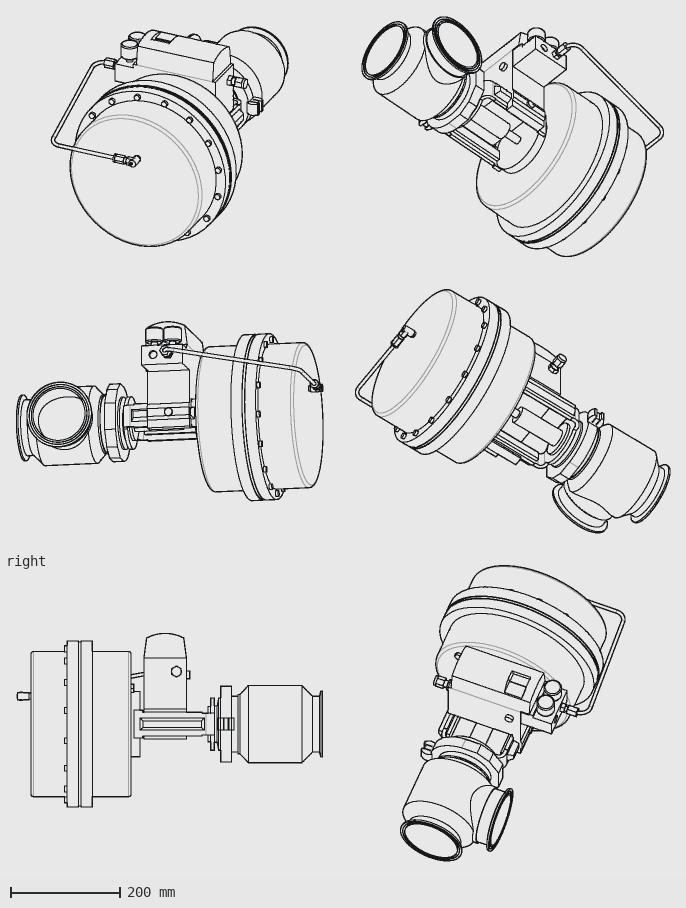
import cadquery as cq
import math


case_radius = 133.0
case_edge_round = 5.0
case_back_y = 183.5
flange_radius = 152.0
flange_thickness = 20.5
flange_front_y = 66.0
gasket_thickness = 5.0
front_flange_y = (flange_front_y, flange_front_y + flange_thickness)
back_flange_front_y = front_flange_y[1] + gasket_thickness
back_flange_y = (back_flange_front_y, back_flange_front_y + flange_thickness)
gasket_radius = 150.5
hub_radius = 60.0
hub_back_y = 199.5
bolt_count = 16
bolt_circle_radius = 141.0
bolt_start_angle = 10.1
bolt_head_radius = 5.3
bolt_head_height = 5.0
plug_position = (84.0, 65.5)
plug_across_corners = 17.5
plug_height = 5.0

stem_radius = 16.0
stem_end_y = 235.0
spindle_radius = 7.0
bracket_front_y = 188.5
bracket_back_y = 335.5
bracket_half_span = 63.0
bracket_thickness = 6.5
bracket_bend_radius = 15.0
bracket_half_height = 20.0
leg_half_height = 22.0
leg_back_y = 313.0
foot_half_height = 25.5
foot_back_y = 204.5
bracket_disc_radius = 48.0
nut_radius = 32.5
nut_front_y = 323.5
rail_outer_x = 74.0
rail_inner_x = 50.5
rail_half_height = 11.0
rail_y = (hub_back_y, 317.0)
rail_side_slope = 5.0

collar_radius = 33.5
clamp_y = (346.5, 367.0)
clamp_radius = 68.0
clamp_flat_corners = ((6.0, 69.5), (-24.0, 69.5), (-48.0, 53.5), (-66.5, 24.5))
neck_radius = 51.5
shoulder_radius = 54.0
body_radius = 71.0
body_y = (397.5, 495.5)
front_cone_y = 382.0
back_cone_y = 515.0
ferrule_radius = 60.5
ferrule_rim = 3.5
ferrule_length = 6.0
ferrule_groove_radii = (56.0, 52.0)
ferrule_groove_depth = 1.5
body_end_y = 533.5
port_y = 444.5
port_end_x = -102.0
port_sleeve_x = -74.5
port_bore_radius = 48.5
core_radius = 55.5

lug_end_x = 86.5
lug_half_height = 11.0
lug_slot_width = 10.0
lug_slot_start_x = 70.5
eye_end_x = 82.0
eye_width = 8.0
screw_x = 75.0
screw_radius = 14.5

housing_y = (206.5, 284.5)
housing_x = (-76.5, 66.0)
housing_bottom_z = 28.0
side_plate_bottom_z = -27.5
side_plate_thickness = 17.0
ridge_z = (-13.0, 17.0)
ridge_top_z = (-6.5, 8.0)
ridge_height = 3.5
rail_screw_y = 244.5
rail_screw_radius = 7.0
rail_screw_end_x = -83.5
manifold_x = (-137.0, -100.0)
manifold_z = (77.5, 113.5)
manifold_y = (housing_y[0], 283.0)
base_top_z = 121.0
cover_x = (-93.5, 60.5)
cover_edge_z = 157.5
cover_top_z = 166.0
cover_draft = 5.0
window_x = (-76.0, -42.0)
window_wall_slope = 3.0
window_floor_z = 159.0
window_y = (233.0, 285.0)
window_step_y = 251.5
window_step_depth = 2.0
gauge_x = -117.5
gauge_radius = 16.0
gauge_chamfer = 2.0
gauge_z = (122.5, 148.5)
gauge_stem_radius = 6.0
gauge_ys = (228.5, 263.0)
vent_position = (-55.5, 90.0)
vent_radius = 7.0
vent_end_y = 290.5
port_hole_y = 261.0
port_hole_radius = 7.0
port_hole_depth = 6.5
outlet_y = 266.0

fitting_z = 96.0
fitting_y = 233.0
tube_radius = 3.5
tube_bend_radius = 19.5
line_start_x = -164.5
line_corner_x = -187.5
elbow_y = -18.0
elbow_z = 51.0
elbow_x = 6.0
elbow_size = 13.5
elbow_corner_x = -162.0
line_end_x = -32.5
elbow_arm_length = 13.5
elbow_neck_length = 5.0
elbow_neck_radius = 5.5
elbow_stub_length = 3.5
elbow_stub_radius = 5.0
elbow_cap_length = 3.0
elbow_cap_radius = 8.0
fitting_hex_length = 7.0
inlet_flats = 15.5
inlet_neck_length = 5.0
inlet_neck_radius = 5.0
inlet_nut_length = 18.5
outlet_flats = 17.5
outlet_neck_length = 7.0
outlet_neck_radius = 6.5
outlet_nut_length = 14.0
outlet_cap_length = 4.5
outlet_cap_radius = 9.0


def cylinder(radius, start, end, axis):
    """Solid cylinder between two points along the given unit axis."""
    length = math.dist(start, end)
    return cq.Workplane(obj=cq.Solid.makeCylinder(radius, length, cq.Vector(*start), cq.Vector(*axis)))


def cylinder_y(radius, y_start, y_end, x=0.0, z=0.0):
    return cylinder(radius, (x, y_start, z), (x, y_end, z), (0, 1, 0))


def cylinder_x(radius, x_start, x_end, y, z):
    return cylinder(radius, (x_start, y, z), (x_end, y, z), (1, 0, 0))


def cylinder_z(radius, z_start, z_end, x, y):
    return cylinder(radius, (x, y, z_start), (x, y, z_end), (0, 0, 1))


def box(x_range, y_range, z_range):
    corner = (x_range[0], y_range[0], z_range[0])
    sizes = [high - low for low, high in (x_range, y_range, z_range)]
    return cq.Workplane().box(*sizes, centered=False).translate(corner)


def revolve_about_y(radius_and_y):
    """Turn a profile of (radius, y) points, closed along the Y axis."""
    start_y = radius_and_y[0][1]
    end_y = radius_and_y[-1][1]
    points = [(0, start_y), *radius_and_y, (0, end_y)]
    return cq.Workplane("XY").polyline(points).close().revolve(360, (0, 0, 0), (0, 1, 0))


def hex_along_x(x_start, x_end, y, z, flats):
    """Hexagonal prism along X with flats on top and bottom."""
    corners = flats / math.cos(math.pi / 6)
    prism = cq.Workplane("YZ").polygon(6, corners).extrude(x_end - x_start)
    return prism.translate((x_start, y, z))


def join(pieces):
    joined = pieces[0]
    for piece in pieces[1:]:
        joined = joined.union(piece)
    return joined


def make_actuator():
    case = cylinder_y(case_radius, 0, case_back_y).edges().fillet(case_edge_round)
    pieces = [
        case,
        cylinder_y(flange_radius, *front_flange_y),
        cylinder_y(gasket_radius, front_flange_y[1], back_flange_y[0]),
        cylinder_y(flange_radius, *back_flange_y),
        cylinder_y(hub_radius, case_back_y, hub_back_y),
    ]
    bolt_front_y = front_flange_y[0] - bolt_head_height
    for index in range(bolt_count):
        angle = math.radians(bolt_start_angle + index * 360 / bolt_count)
        x = bolt_circle_radius * math.cos(angle)
        z = bolt_circle_radius * math.sin(angle)
        pieces.append(cylinder_y(bolt_head_radius, bolt_front_y, front_flange_y[0], x, z))
    plug = cq.Workplane("XZ").polygon(6, plug_across_corners).extrude(-plug_height)
    pieces.append(plug.translate((plug_position[0], case_back_y, plug_position[1])))
    return join(pieces)


def make_bracket():
    inner_half_span = bracket_half_span - bracket_thickness
    plate_front_y = bracket_back_y - bracket_thickness
    outside = box(
        (-bracket_half_span, bracket_half_span),
        (bracket_front_y, bracket_back_y),
        (-foot_half_height, foot_half_height),
    )
    outside = outside.edges("|Z and >Y").fillet(bracket_bend_radius)
    inside = box(
        (-inner_half_span, inner_half_span),
        (bracket_front_y, plate_front_y),
        (-foot_half_height, foot_half_height),
    )
    inside = inside.edges("|Z and >Y").fillet(bracket_bend_radius - bracket_thickness)
    strap = outside.cut(inside)

    full_x = (-bracket_half_span, bracket_half_span)
    outline = join([
        box(full_x, (bracket_front_y, bracket_back_y), (-bracket_half_height, bracket_half_height)),
        box(full_x, (bracket_front_y, leg_back_y), (-leg_half_height, leg_half_height)),
        box(full_x, (bracket_front_y, foot_back_y), (-foot_half_height, foot_half_height)),
    ])
    pieces = [
        strap.intersect(outline),
        cylinder_y(bracket_disc_radius, plate_front_y, bracket_back_y),
        cylinder_y(nut_radius, nut_front_y, plate_front_y),
        cylinder_y(stem_radius, stem_end_y, nut_front_y),
        cylinder_y(spindle_radius, hub_back_y, stem_end_y),
    ]
    rail_depth = rail_outer_x - bracket_half_span
    rail_crest = (
        cq.Workplane("YZ", origin=(bracket_half_span, sum(rail_y) / 2, 0))
        .rect(rail_y[1] - rail_y[0], 2 * rail_half_height)
        .extrude(rail_depth, taper=math.degrees(math.atan2(rail_side_slope, rail_depth)))
    )
    rail_base = box((rail_inner_x, bracket_half_span), rail_y, (-rail_half_height, rail_half_height))
    rail = rail_base.union(rail_crest)
    pieces += [rail, rail.mirror("YZ")]
    return join(pieces)


def make_valve():
    ferrule_neck_y = body_end_y - ferrule_length
    body = revolve_about_y([
        (collar_radius, bracket_back_y),
        (collar_radius, clamp_y[0] - ferrule_length),
        (bracket_disc_radius, clamp_y[0] - ferrule_rim),
        (bracket_disc_radius, clamp_y[1]),
        (neck_radius, clamp_y[1]),
        (neck_radius, front_cone_y - ferrule_rim),
        (shoulder_radius, front_cone_y - ferrule_rim),
        (shoulder_radius, front_cone_y),
        (body_radius, body_y[0]),
        (body_radius, body_y[1]),
        (neck_radius, back_cone_y),
        (neck_radius, ferrule_neck_y),
        (ferrule_radius, body_end_y - ferrule_rim),
        (ferrule_radius, body_end_y),
    ])
    port_length = -port_end_x
    port = revolve_about_y([
        (shoulder_radius, 0),
        (shoulder_radius, -port_sleeve_x),
        (neck_radius, -port_sleeve_x),
        (neck_radius, port_length - ferrule_length),
        (ferrule_radius, port_length - ferrule_rim),
        (ferrule_radius, port_length),
    ])
    port = port.rotate((0, 0, 0), (0, 0, 1), 90).translate((0, port_y, 0))
    bore = cylinder_x(port_bore_radius, port_end_x, 0, port_y, 0)
    bore = bore.cut(cylinder_y(core_radius, clamp_y[1], body_end_y))
    groove = ferrule_groove()
    body_groove = groove.translate((0, body_end_y, 0))
    port_groove = groove.rotate((0, 0, 0), (0, 0, 1), 90).translate((port_end_x, port_y, 0))
    return body.union(port).cut(bore).cut(body_groove).cut(port_groove)


def ferrule_groove():
    """Gasket ring that sinks into a ferrule face lying at Y = 0 and facing +Y."""
    outer_radius, inner_radius = ferrule_groove_radii
    outer = cylinder_y(outer_radius, -ferrule_groove_depth, 0)
    return outer.cut(cylinder_y(inner_radius, -ferrule_groove_depth, 0))


def make_clamp():
    """Clamp band: flats on the -X side, a round band on the +X side, mirrored in Z."""
    upper = clamp_flat_corners
    lower = [(x, -z) for x, z in reversed(upper)]
    outline = (
        cq.Workplane("XZ", origin=(0, clamp_y[0], 0))
        .polyline([*upper, *lower])
        .threePointArc((clamp_radius, 0), upper[0])
        .close()
    )
    return outline.extrude(clamp_y[0] - clamp_y[1])


def make_clamp_screw():
    middle_y = sum(clamp_y) / 2
    lug = box((0, lug_end_x), clamp_y, (-lug_half_height, lug_half_height))
    screw = cylinder_z(screw_radius, -lug_half_height, lug_half_height, screw_x, middle_y)
    slot = box(
        (lug_slot_start_x, lug_end_x),
        (middle_y - lug_slot_width / 2, middle_y + lug_slot_width / 2),
        (-lug_half_height, lug_half_height),
    )
    eye = box(
        (lug_slot_start_x, eye_end_x),
        (middle_y - eye_width / 2, middle_y + eye_width / 2),
        (-lug_half_height, lug_half_height),
    )
    limit = box(
        (0, lug_end_x),
        (middle_y - screw_radius, middle_y + screw_radius),
        (-lug_half_height, lug_half_height),
    )
    return lug.union(screw).intersect(limit).cut(slot).union(eye)


def make_cover():
    """Cover with drafted sides and an arched top, as a YZ section run along X."""
    middle_y = sum(housing_y) / 2
    section = (
        cq.Workplane("YZ", origin=(cover_x[0], 0, 0))
        .moveTo(housing_y[0], base_top_z)
        .lineTo(housing_y[0] + cover_draft, cover_edge_z)
        .threePointArc((middle_y, cover_top_z), (housing_y[1] - cover_draft, cover_edge_z))
        .lineTo(housing_y[1], base_top_z)
        .close()
    )
    cover = section.extrude(cover_x[1] - cover_x[0])
    window = window_cutter(window_y, window_floor_z)
    step = window_cutter((window_y[0], window_step_y), window_floor_z - window_step_depth)
    return cover.cut(window).cut(step)


def window_cutter(y_range, floor_z):
    """Straight cutter from the given floor up, with its +X wall leaning outward."""
    profile = cq.Workplane("XZ", origin=(0, y_range[0], 0)).polyline([
        (window_x[0], floor_z),
        (window_x[1], floor_z),
        (window_x[1] + window_wall_slope, cover_top_z),
        (window_x[0], cover_top_z),
    ])
    return profile.close().extrude(y_range[0] - y_range[1])


def make_positioner():
    side_plate_x = (housing_x[0], housing_x[0] + side_plate_thickness)
    side_plate = box(side_plate_x, housing_y, (side_plate_bottom_z, base_top_z))
    ridge_x = housing_x[0] - ridge_height
    ridge_outline = cq.Workplane("XZ", origin=(0, housing_y[0], 0)).polyline([
        (housing_x[0], ridge_z[0]),
        (ridge_x, ridge_top_z[0]),
        (ridge_x, ridge_top_z[1]),
        (housing_x[0], ridge_z[1]),
    ])
    ridge = ridge_outline.close().extrude(housing_y[0] - housing_y[1])
    manifold = box(manifold_x, manifold_y, manifold_z)
    manifold = manifold.cut(
        cylinder_x(port_hole_radius, manifold_x[0], manifold_x[0] + port_hole_depth, port_hole_y, fitting_z)
    )
    pieces = [
        side_plate,
        ridge,
        box(housing_x, housing_y, (housing_bottom_z, base_top_z)),
        box((manifold_x[1], housing_x[0]), manifold_y, (manifold_z[0], base_top_z)),
        manifold,
        make_cover(),
        cylinder_x(rail_screw_radius, rail_screw_end_x, -rail_inner_x, rail_screw_y, 0),
        cylinder_y(vent_radius, housing_y[1], vent_end_y, *vent_position),
    ]
    for y in gauge_ys:
        gauge = cylinder_z(gauge_radius, *gauge_z, gauge_x, y)
        pieces.append(gauge.faces(">Z or <Z").chamfer(gauge_chamfer))
        pieces.append(cylinder_z(gauge_stem_radius, manifold_z[1], gauge_z[0], gauge_x, y))
    return join(pieces)


def make_inlet_fitting():
    neck_x = manifold_x[0] - fitting_hex_length
    nut_x = neck_x - inlet_neck_length
    return [
        hex_along_x(neck_x, manifold_x[0], fitting_y, fitting_z, inlet_flats),
        cylinder_x(inlet_neck_radius, nut_x, neck_x, fitting_y, fitting_z),
        hex_along_x(nut_x - inlet_nut_length, nut_x, fitting_y, fitting_z, inlet_flats),
    ]


def make_outlet_fitting():
    neck_x = housing_x[1] + fitting_hex_length
    nut_x = neck_x + outlet_neck_length
    cap_x = nut_x + outlet_nut_length
    pieces = [
        hex_along_x(housing_x[1], neck_x, outlet_y, fitting_z, outlet_flats),
        cylinder_x(outlet_neck_radius, neck_x, nut_x, outlet_y, fitting_z),
        hex_along_x(nut_x, cap_x, outlet_y, fitting_z, outlet_flats),
        cylinder_x(outlet_cap_radius, cap_x, cap_x + outlet_cap_length, outlet_y, fitting_z),
    ]
    axis_start = (0, outlet_y, fitting_z)
    axis_end = (1, outlet_y, fitting_z)
    return [piece.rotate(axis_start, axis_end, 180 / 6) for piece in pieces]


def make_elbow():
    """Elbow that turns the air line into the actuator cover, with its nut on the -X side."""
    half_size = elbow_size / 2
    neck_x = elbow_x - elbow_arm_length
    nut_x = neck_x - elbow_neck_length
    cap_x = line_end_x + elbow_cap_length
    return [
        cylinder_y(half_size, elbow_y - half_size, -elbow_stub_length, elbow_x, elbow_z),
        cylinder_y(elbow_stub_radius, -elbow_stub_length, 0, elbow_x, elbow_z),
        hex_along_x(neck_x, elbow_x, elbow_y, elbow_z, elbow_size),
        cylinder_x(elbow_neck_radius, nut_x, neck_x, elbow_y, elbow_z),
        hex_along_x(cap_x, nut_x, elbow_y, elbow_z, elbow_size),
        cylinder_x(elbow_cap_radius, line_end_x, cap_x, elbow_y, elbow_z),
    ]


def make_air_line():
    """Tube swept along three straight runs joined by two round bends."""
    start = cq.Vector(line_start_x, fitting_y, fitting_z)
    corners = [
        cq.Vector(line_corner_x, fitting_y, fitting_z),
        cq.Vector(elbow_corner_x, elbow_y, elbow_z),
    ]
    end = cq.Vector(line_end_x, elbow_y, elbow_z)
    stops = [start, *corners, end]
    edges = []
    position = start
    for before, corner, after in zip(stops, corners, stops[2:]):
        back = (before - corner).normalized()
        ahead = (after - corner).normalized()
        half_angle = back.getAngle(ahead) / 2
        tangent_length = tube_bend_radius / math.tan(half_angle)
        bend_start = corner + back * tangent_length
        bend_end = corner + ahead * tangent_length
        bisector = (back + ahead).normalized()
        bend_middle = corner + bisector * (tube_bend_radius / math.sin(half_angle) - tube_bend_radius)
        edges.append(cq.Edge.makeLine(position, bend_start))
        edges.append(cq.Edge.makeThreePointArc(bend_start, bend_middle, bend_end))
        position = bend_end
    edges.append(cq.Edge.makeLine(position, end))
    path = cq.Workplane(obj=cq.Wire.assembleEdges(edges))
    section = cq.Workplane("YZ", origin=start.toTuple()).circle(tube_radius)
    return section.sweep(path)


result = join([
    make_actuator(),
    make_bracket(),
    make_valve(),
    make_clamp(),
    make_clamp_screw(),
    make_positioner(),
    *make_inlet_fitting(),
    *make_outlet_fitting(),
    *make_elbow(),
    make_air_line(),
])